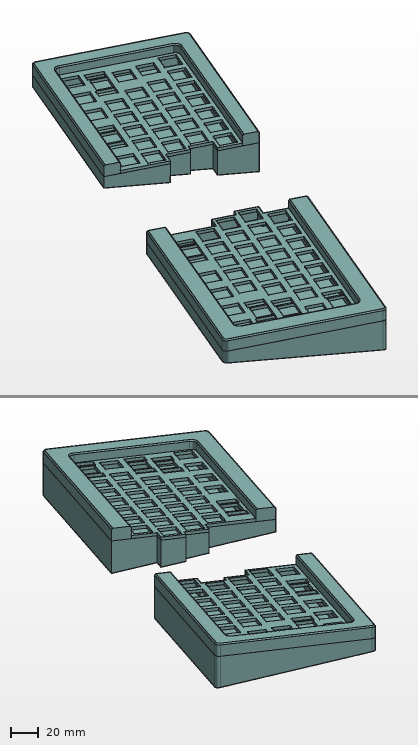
import cadquery as cq
import math


OVERALL_WIDTH = 407.5
ROW_COUNT = 5
GRID_UNITS = 20
PITCH = 76.2 / (ROW_COUNT - 1)
GRID_X = 13.5
GRID_END = GRID_X + GRID_UNITS * PITCH
GRID_BACK = ROW_COUNT * PITCH / 2

LEFT_ROWS = [
    [1] * 7,
    [1.5] + [1] * 5,
    [1.75] + [1] * 5,
    [2.25] + [1] * 5,
    [1.25, 1.25, 1.25, 2.25, 1.25],
]
RIGHT_ROWS = [
    [1] * 6 + [2],
    [1] * 7 + [1.5],
    [1] * 6 + [2.25],
    [1] * 5 + [2.75],
    [2.75] + [1.25] * 4,
]

SWITCH_HOLE = 14.0
STABILIZED_WIDTH = 2
STABILIZER_SPREAD = 12.0
STABILIZER_WIDTH = 7.0
STABILIZER_LENGTH = 15.0

LEFT_DEPTH = 122.0
RIGHT_DEPTH = 126.5
OUTER_CORNER = 3.3
TOTAL_HEIGHT = 35.0
BEZEL_HEIGHT = 9.8
BEZEL_CHAMFER = 1.0
PLATE_THICKNESS = 2.5
FRONT_HEIGHT = 19.5
BACK_DROP = TOTAL_HEIGHT - BEZEL_HEIGHT
FRONT_DROP = FRONT_HEIGHT - BEZEL_HEIGHT
UNDERSIDE_SLOPE = (BACK_DROP - FRONT_DROP) / RIGHT_DEPTH

OPENING_GAP = 0.5
OPENING_HALF_DEPTH = GRID_BACK + OPENING_GAP
RIGHT_OPENING_OVERLAP = 2.5
OPENING_CORNER = 4
OPENING_CHAMFER = 1.0

STEP_WALL = 1.2
CAVITY_DEPTH = 8

FOOT_DIAMETER = 10.0
FOOT_INSET = 9.8
FOOT_DEPTH = 1.5
SCREW_DIAMETER = 6.5
SCREW_INSET = 6.0
SCREW_DEPTH = 4
LEFT_FRONT_SCREWS = [42.0, 131.5]
LEFT_BACK_SCREWS = [49, 106]
RIGHT_FRONT_SCREWS = [279.0, 351.0]
RIGHT_BACK_SCREWS = [276.7, 352.5]


def row_back(row):
    """Y of the back edge of a key row."""
    return GRID_BACK - row * PITCH


def underside_z(y, depth):
    """Z of the sloping underside, which starts at the same height at the front of both halves."""
    return -FRONT_DROP - (depth / 2 + y) * UNDERSIDE_SLOPE


def key_centers(rows, split_on_right):
    """Centre X, centre Y and width in units of every key of a half."""
    keys = []
    for row, widths in enumerate(rows):
        start = 0 if split_on_right else GRID_UNITS - sum(widths)
        for width in widths:
            x = GRID_X + (start + width / 2) * PITCH
            keys.append((x, row_back(row + 0.5), width))
            start += width
    return keys


def split_edge_x(widths, split_on_right):
    """X of the split edge of a row."""
    reach = sum(widths) * PITCH
    return GRID_X + reach if split_on_right else GRID_END - reach


def stepped_prism(rows, split_on_right, outer_x, half_depth, edge_wall, bottom, height):
    """Block with straight outer sides whose split edge follows the key rows, set in by a wall."""
    inward = -edge_wall if split_on_right else edge_wall
    edge_x = [split_edge_x(widths, split_on_right) + inward for widths in rows]
    points = [(outer_x, -half_depth), (outer_x, half_depth), (edge_x[0], half_depth)]
    for row in range(1, len(rows)):
        change = sum(rows[row]) - sum(rows[row - 1])
        if change == 0:
            continue
        step_y = row_back(row) + math.copysign(edge_wall, -change)
        points += [(edge_x[row - 1], step_y), (edge_x[row], step_y)]
    points.append((edge_x[-1], -half_depth))
    return cq.Workplane("XY", origin=(0, 0, bottom)).polyline(points).close().extrude(height)


def outer_corners(body, split_on_right, radius):
    """Round the two upright edges on the side away from the split."""
    return body.edges("|Z").edges("<X" if split_on_right else ">X").fillet(radius)


def opening_x(split_on_right):
    """X of the outer side of the bezel opening."""
    if split_on_right:
        return GRID_X - OPENING_GAP
    return GRID_END - RIGHT_OPENING_OVERLAP


def opening_prism(rows, split_on_right, height):
    """Stepped block that fills the bezel opening."""
    side = opening_x(split_on_right)
    body = stepped_prism(rows, split_on_right, side, OPENING_HALF_DEPTH, 0, 0, height)
    return outer_corners(body, split_on_right, OPENING_CORNER)


def body_x(split_on_right):
    """X of the outer side of a half."""
    return 0 if split_on_right else OVERALL_WIDTH


def make_plate(rows, split_on_right):
    """Key plate with a square hole per key and stabilizer slots beside wide keys."""
    plate = opening_prism(rows, split_on_right, PLATE_THICKNESS)
    keys = key_centers(rows, split_on_right)
    centers = [(x, y) for x, y, width in keys]
    holes = cq.Workplane("XY").pushPoints(centers).rect(SWITCH_HOLE, SWITCH_HOLE)
    plate = plate.cut(holes.extrude(PLATE_THICKNESS))
    slot_shift = (SWITCH_HOLE - STABILIZER_LENGTH) / 2
    slots = [
        (x + side * STABILIZER_SPREAD, y + slot_shift)
        for x, y, width in keys
        if width >= STABILIZED_WIDTH
        for side in (-1, 1)
    ]
    slot_cut = cq.Workplane("XY").pushPoints(slots).rect(STABILIZER_WIDTH, STABILIZER_LENGTH)
    return plate.cut(slot_cut.extrude(PLATE_THICKNESS))


def make_bezel(rows, split_on_right, depth):
    """Three-sided frame around the plate, chamfered along its top edges."""
    outer_x = body_x(split_on_right)
    body = stepped_prism(rows, split_on_right, outer_x, depth / 2, 0, 0, BEZEL_HEIGHT)
    body = outer_corners(body, split_on_right, OUTER_CORNER)
    body = body.cut(opening_prism(rows, split_on_right, BEZEL_HEIGHT))
    split_sides = [split_edge_x(widths, split_on_right) for widths in rows]
    outer_rim = []
    opening_rim = []
    for edge in body.faces(">Z").edges().vals():
        center = edge.Center()
        if any(math.isclose(center.x, side) for side in split_sides):
            continue
        on_opening = abs(center.y) <= OPENING_HALF_DEPTH and abs(center.x - outer_x) > OUTER_CORNER
        if on_opening:
            opening_rim.append(edge)
        else:
            outer_rim.append(edge)
    body = body.newObject(outer_rim).chamfer(BEZEL_CHAMFER)
    return body.newObject(opening_rim).chamfer(OPENING_CHAMFER)


def below_underside(depth):
    """Everything below the sloping underside of a half."""
    profile = [
        (-depth, underside_z(-depth, depth)),
        (depth, underside_z(depth, depth)),
        (depth, -2 * TOTAL_HEIGHT),
        (-depth, -2 * TOTAL_HEIGHT),
    ]
    return cq.Workplane("YZ").polyline(profile).close().extrude(OVERALL_WIDTH)


def underside_recess(x, y, case_depth, diameter, recess_depth):
    """Upright blind hole rising a given depth from the underside at its centre."""
    top = underside_z(y, case_depth) + recess_depth
    return cq.Workplane("XY", origin=(x, y, top)).circle(diameter / 2).extrude(-2 * TOTAL_HEIGHT)


def make_case(rows, split_on_right, depth, front_screws, back_screws):
    """Hollow wedge with foot and screw recesses in its underside."""
    outer_x = body_x(split_on_right)
    body = stepped_prism(rows, split_on_right, outer_x, depth / 2, 0, -BACK_DROP, BACK_DROP)
    body = outer_corners(body, split_on_right, OUTER_CORNER).cut(below_underside(depth))
    cavity_x = GRID_X if split_on_right else GRID_END - RIGHT_OPENING_OVERLAP
    cavity = stepped_prism(rows, split_on_right, cavity_x, GRID_BACK, STEP_WALL, -CAVITY_DEPTH, CAVITY_DEPTH)
    body = body.cut(cavity)
    foot_side = FOOT_INSET if split_on_right else -FOOT_INSET
    for end, row, screws in ((1, 0, back_screws), (-1, -1, front_screws)):
        foot_y = end * (depth / 2 - FOOT_INSET)
        split_x = split_edge_x(rows[row], split_on_right)
        for foot_x in (outer_x + foot_side, split_x - foot_side):
            body = body.cut(underside_recess(foot_x, foot_y, depth, FOOT_DIAMETER, FOOT_DEPTH))
        screw_y = end * (depth / 2 - SCREW_INSET)
        for screw_x in screws:
            body = body.cut(underside_recess(screw_x, screw_y, depth, SCREW_DIAMETER, SCREW_DEPTH))
    return body


left_case = make_case(LEFT_ROWS, True, LEFT_DEPTH, LEFT_FRONT_SCREWS, LEFT_BACK_SCREWS)
right_case = make_case(RIGHT_ROWS, False, RIGHT_DEPTH, RIGHT_FRONT_SCREWS, RIGHT_BACK_SCREWS)
left_plate = make_plate(LEFT_ROWS, True)
right_plate = make_plate(RIGHT_ROWS, False)
left_bezel = make_bezel(LEFT_ROWS, True, LEFT_DEPTH)
right_bezel = make_bezel(RIGHT_ROWS, False, RIGHT_DEPTH)

result = cq.Compound.makeCompound(
    [body.val() for body in (left_case, right_case, left_plate, right_plate, left_bezel, right_bezel)]
)